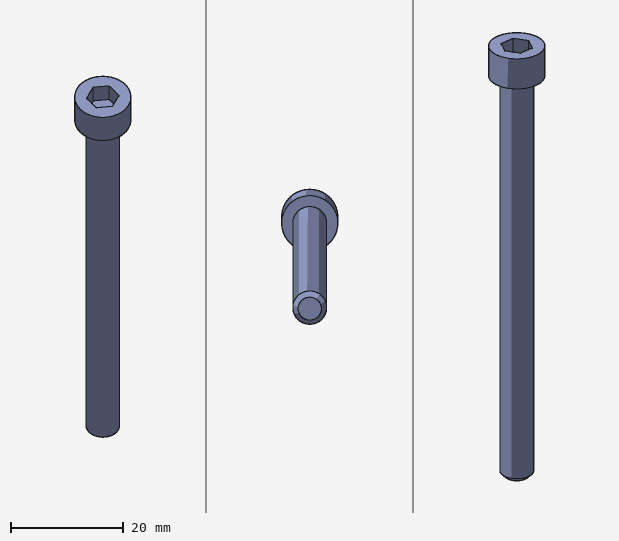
import cadquery as cq
import math

total_length = 86.0
head_diameter = 10.0
head_height = 6.0
shank_diameter = 6.0
tip_diameter = 4.1
tip_height = 0.95
socket_across_flats = 5.0
socket_depth = 3.5

shank_length = total_length - head_height
socket_across_corners = socket_across_flats / math.cos(math.pi / 6)


def make_body():
    """Revolve the half profile of tip, shank and head about Z."""
    tip_radius = tip_diameter / 2
    shank_radius = shank_diameter / 2
    head_radius = head_diameter / 2
    profile = (
        cq.Workplane("XZ")
        .lineTo(tip_radius, 0)
        .lineTo(shank_radius, tip_height)
        .lineTo(shank_radius, shank_length)
        .lineTo(head_radius, shank_length)
        .lineTo(head_radius, total_length)
        .lineTo(0, total_length)
        .close()
    )
    return profile.revolve(360, (0, 0, 0), (0, 1, 0))


def make_socket():
    """Hexagonal drive recess with two corners on the X axis."""
    return (
        cq.Workplane("XY", origin=(0, 0, total_length))
        .polygon(6, socket_across_corners)
        .extrude(-socket_depth)
    )


result = make_body().cut(make_socket())